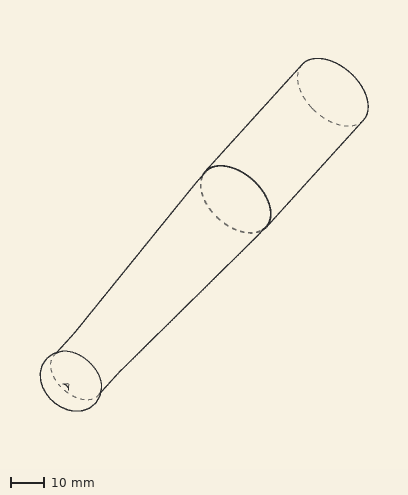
import cadquery as cq
import math

total_length = 156.0
shank_radius = 25.0 / 2
shank_length = 56.0
collar_radius = 24.5 / 2
collar_length = 5.0
neck_radius = 18.0 / 2
neck_length = 12.0
bead_radius = 5.0

bead_center_y = bead_radius
neck_radial_offset = neck_radius - bead_radius
neck_start_y = bead_center_y + math.sqrt(bead_radius**2 - neck_radial_offset**2)
taper_start_y = neck_start_y + neck_length
shank_start_y = total_length - shank_length
taper_end_y = shank_start_y - collar_length

profile = (
    cq.Workplane("XY")
    .moveTo(0, bead_center_y)
    .threePointArc((bead_radius, 0), (neck_radius, neck_start_y))
    .lineTo(neck_radius, taper_start_y)
    .lineTo(collar_radius, taper_end_y)
    .lineTo(collar_radius, shank_start_y)
    .lineTo(shank_radius, shank_start_y)
    .lineTo(shank_radius, total_length)
    .lineTo(0, total_length)
    .close()
)

result = profile.revolve(360, (0, 0, 0), (0, 1, 0))